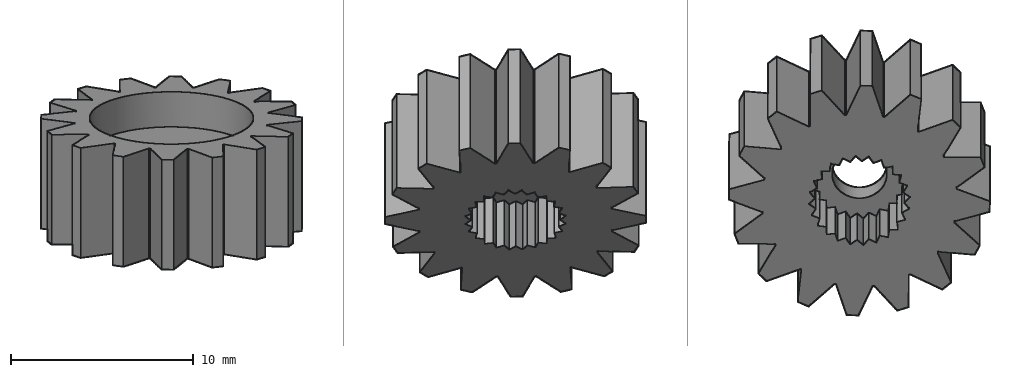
import cadquery as cq
import math

TOOTH_COUNT = 16
TIP_DISTANCE = 7.14
HEIGHT = 6.35

TIP_WIDTH = 0.65
ROOT_WIDTH = 2.01
ROOT_DISTANCE = 5.27

RECESS_DIAMETER = 8.96
RECESS_DEPTH = 2.03
BORE_DIAMETER = 3.0
BORE_LENGTH = 1.27

SERRATION_COUNT = 24
SOCKET_INNER_RADIUS = 2.44
SOCKET_OUTER_RADIUS = 2.77
SOCKET_DEPTH = HEIGHT - RECESS_DEPTH - BORE_LENGTH


def polar_point(radius, angle):
    return (radius * math.cos(angle), radius * math.sin(angle))


def turned(point, angle):
    x, y = point
    return (
        x * math.cos(angle) - y * math.sin(angle),
        x * math.sin(angle) + y * math.cos(angle),
    )


def toothed_blank():
    """Solid gear whose first tooth is centred on +X; tips and roots are flat."""
    tooth = [
        (ROOT_DISTANCE, -ROOT_WIDTH / 2),
        (TIP_DISTANCE, -TIP_WIDTH / 2),
        (TIP_DISTANCE, TIP_WIDTH / 2),
        (ROOT_DISTANCE, ROOT_WIDTH / 2),
    ]
    pitch = 2 * math.pi / TOOTH_COUNT
    outline = [turned(point, i * pitch) for i in range(TOOTH_COUNT) for point in tooth]
    return cq.Workplane("XY").polyline(outline).close().extrude(HEIGHT)


def serrated_socket():
    """Star-shaped cutter from the bottom face, with a groove centred on +X."""
    pitch = 2 * math.pi / SERRATION_COUNT
    outline = []
    for i in range(SERRATION_COUNT):
        outline.append(polar_point(SOCKET_OUTER_RADIUS, i * pitch))
        outline.append(polar_point(SOCKET_INNER_RADIUS, (i + 0.5) * pitch))
    return cq.Workplane("XY").polyline(outline).close().extrude(SOCKET_DEPTH)


def bore():
    return cq.Workplane("XY").circle(BORE_DIAMETER / 2).extrude(HEIGHT)


def top_recess():
    floor = cq.Workplane("XY").workplane(offset=HEIGHT - RECESS_DEPTH)
    return floor.circle(RECESS_DIAMETER / 2).extrude(RECESS_DEPTH)


result = toothed_blank().cut(top_recess()).cut(bore()).cut(serrated_socket())